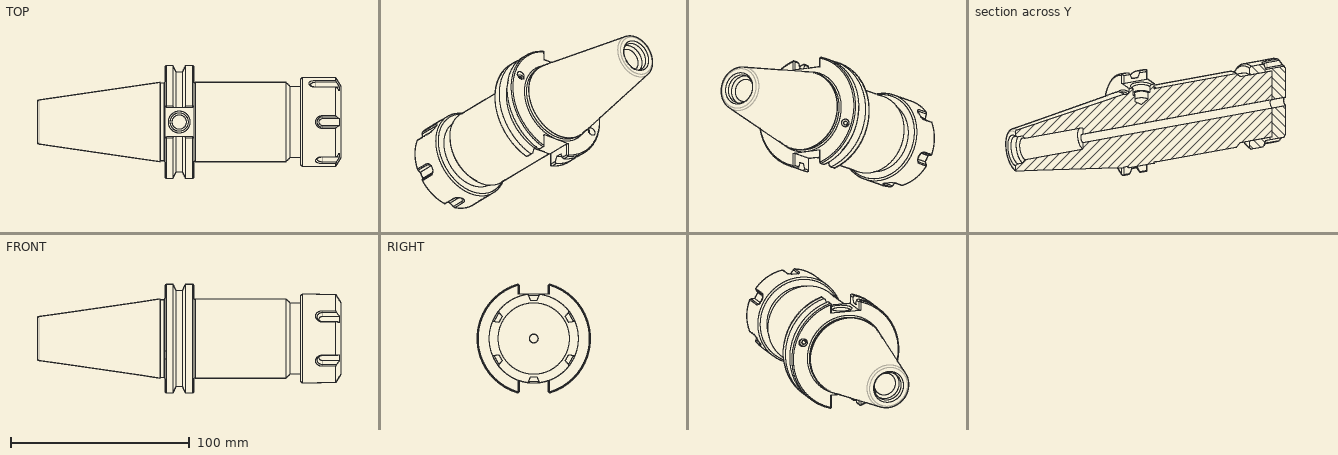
import cadquery as cq
import math

TOTAL_LENGTH = 169.9

GAUGE_X = 68.5
GAUGE_DIAMETER = 44.5
TAPER_RATIO = 7 / 24
SHANK_EDGE_RADIUS = 1.2
UNDERCUT_DIAMETER = 43.7
UNDERCUT_CHAMFER = 0.3
UNDERCUT_ROOT_LENGTH = 0.7
UNDERCUT_ROOT_DIAMETER = 45.5

FLANGE_START = 71.5
FLANGE_END = 87.5
FLANGE_DIAMETER = 63.5
FLANGE_CHAMFER = 0.7
GROOVE_CENTRE = 79.3
GROOVE_FLOOR_WIDTH = 3.5
GROOVE_TOP_WIDTH = 7.1
GROOVE_DIAMETER = 56.2

KEYWAY_WIDTH = 16.1
KEYWAY_CHAMFER = 0.8
TOP_KEYWAY_FLOOR = 25.0
BOTTOM_KEYWAY_FLOOR = 22.8

CHIP_HOLE_RIM_DIAMETER = 12.2
CHIP_HOLE_DIAMETER = 10.2
CHIP_HOLE_DEPTH = 4.6
CHIP_DRILL_DIAMETER = 8.0
CHIP_DRILL_DEPTH = 8.5
DRILL_POINT_ANGLE = 118

RELIEF_END = 88.5
RELIEF_DIAMETER = 44.2
BODY_END = 139.0
BODY_DIAMETER = 44.5
NECK_START = 141.3
NECK_DIAMETER = 40.0

BORE_MOUTH_DIAMETER = 17.8
BORE_MOUTH_DEPTH = 1.5
BORE_PILOT_DIAMETER = 16.0
BORE_PILOT_DEPTH = 4.8
BORE_STEP_LENGTH = 1.4
BORE_DIAMETER = 12.5
BORE_DEPTH = 42.5
THROUGH_DIAMETER = 4.8

SCREW_COUNT = 2
SCREW_CIRCLE_DIAMETER = 54.0
SCREW_DIRECTION = 20
SCREW_DIAMETER = 4.2
SCREW_TILT = 30
SCREW_RECESS = 2.4
SCREW_LENGTH = 4.0
SCREW_SOCKET_WIDTH = 2.0
SCREW_SOCKET_DEPTH = 1.7

NUT_START = 147.1
NUT_DIAMETER = 50.0
NUT_CHAMFER = 1.0
NUT_CONE_START = 166.8
NUT_FACE_DIAMETER = 40.0
NUT_WALL = 8.5

SLOT_COUNT = 6
SLOT_FIRST_ANGLE = 30
SLOT_RIM_WIDTH = 7.1
SLOT_RIM_CHAMFER = 0.7
SLOT_FLOOR_WIDTH = 3.7
SLOT_FLOOR_RADIUS = 21.4
SLOT_START = 155.8
LONG_SLOT_START = 152.0

SHANK_END_DIAMETER = GAUGE_DIAMETER - GAUGE_X * TAPER_RATIO
NOSE_END = TOTAL_LENGTH - NUT_WALL
SLOT_RIM_RADIUS = math.sqrt((NUT_DIAMETER / 2) ** 2 - (SLOT_RIM_WIDTH / 2) ** 2)
SLOT_WALL_RADIUS = SLOT_RIM_RADIUS - SLOT_RIM_CHAMFER
SLOT_WALL_WIDTH = SLOT_RIM_WIDTH - 2 * SLOT_RIM_CHAMFER
SCREW_HOLE_DEPTH = SCREW_RECESS + SCREW_LENGTH


def revolve_x(points):
    """Solid of revolution about X from (x, radius) points."""
    return cq.Workplane("XY").polyline(points).close().revolve(360, (0, 0, 0), (1, 0, 0))


def holder_blank():
    """Taper shank, grooved flange, body and nose as one turned solid."""
    flange_radius = FLANGE_DIAMETER / 2
    rim_radius = flange_radius - FLANGE_CHAMFER
    groove_radius = GROOVE_DIAMETER / 2
    outline = [
        (0, 0),
        (0, SHANK_END_DIAMETER / 2),
        (GAUGE_X, GAUGE_DIAMETER / 2),
        (GAUGE_X + UNDERCUT_CHAMFER, UNDERCUT_DIAMETER / 2),
        (FLANGE_START - UNDERCUT_ROOT_LENGTH, UNDERCUT_DIAMETER / 2),
        (FLANGE_START, UNDERCUT_ROOT_DIAMETER / 2),
        (FLANGE_START, rim_radius),
        (FLANGE_START + FLANGE_CHAMFER, flange_radius),
        (GROOVE_CENTRE - GROOVE_TOP_WIDTH / 2, flange_radius),
        (GROOVE_CENTRE - GROOVE_FLOOR_WIDTH / 2, groove_radius),
        (GROOVE_CENTRE + GROOVE_FLOOR_WIDTH / 2, groove_radius),
        (GROOVE_CENTRE + GROOVE_TOP_WIDTH / 2, flange_radius),
        (FLANGE_END - FLANGE_CHAMFER, flange_radius),
        (FLANGE_END, rim_radius),
        (FLANGE_END, RELIEF_DIAMETER / 2),
        (RELIEF_END, RELIEF_DIAMETER / 2),
        (RELIEF_END, BODY_DIAMETER / 2),
        (BODY_END, BODY_DIAMETER / 2),
        (NECK_START, NECK_DIAMETER / 2),
        (NOSE_END, NECK_DIAMETER / 2),
        (NOSE_END, 0),
    ]
    return revolve_x(outline).faces("<X").edges().fillet(SHANK_EDGE_RADIUS)


def pull_stud_bore():
    """Stepped bore from the small taper end, running on as a narrow hole to the nose."""
    step_end = BORE_PILOT_DEPTH + BORE_STEP_LENGTH
    return revolve_x(
        [
            (0, 0),
            (0, BORE_MOUTH_DIAMETER / 2),
            (BORE_MOUTH_DEPTH, BORE_PILOT_DIAMETER / 2),
            (BORE_PILOT_DEPTH, BORE_PILOT_DIAMETER / 2),
            (step_end, BORE_DIAMETER / 2),
            (BORE_DEPTH, BORE_DIAMETER / 2),
            (BORE_DEPTH, THROUGH_DIAMETER / 2),
            (NOSE_END, THROUGH_DIAMETER / 2),
            (NOSE_END, 0),
        ]
    )


def keyway(floor):
    """Slot through the flange on +Z, with chamfered wall edges."""
    half = KEYWAY_WIDTH / 2
    wide = half + KEYWAY_CHAMFER
    outer = FLANGE_DIAMETER / 2
    plan = [
        (FLANGE_START, wide),
        (FLANGE_START + KEYWAY_CHAMFER, half),
        (FLANGE_END - KEYWAY_CHAMFER, half),
        (FLANGE_END, wide),
        (FLANGE_END, -wide),
        (FLANGE_END - KEYWAY_CHAMFER, -half),
        (FLANGE_START + KEYWAY_CHAMFER, -half),
        (FLANGE_START, -wide),
    ]
    walls = cq.Workplane("XY", origin=(0, 0, floor)).polyline(plan).close().extrude(outer - floor)
    rim_height = math.sqrt(outer**2 - wide**2)
    rim = [
        (-half, rim_height - KEYWAY_CHAMFER),
        (-wide, rim_height),
        (-wide, outer),
        (wide, outer),
        (wide, rim_height),
        (half, rim_height - KEYWAY_CHAMFER),
    ]
    length = FLANGE_END - FLANGE_START
    flare = cq.Workplane("YZ", origin=(FLANGE_START, 0, 0)).polyline(rim).close().extrude(length)
    return walls.union(flare)


def chip_hole():
    """Stepped blind hole going down from the top keyway floor, with a drill point."""
    rim_depth = (CHIP_HOLE_RIM_DIAMETER - CHIP_HOLE_DIAMETER) / 2
    point = CHIP_DRILL_DIAMETER / 2 / math.tan(math.radians(DRILL_POINT_ANGLE / 2))
    outline = [
        (0, 0),
        (CHIP_HOLE_RIM_DIAMETER / 2, 0),
        (CHIP_HOLE_DIAMETER / 2, -rim_depth),
        (CHIP_HOLE_DIAMETER / 2, -CHIP_HOLE_DEPTH),
        (CHIP_DRILL_DIAMETER / 2, -CHIP_HOLE_DEPTH),
        (CHIP_DRILL_DIAMETER / 2, -CHIP_DRILL_DEPTH),
        (0, -CHIP_DRILL_DEPTH - point),
    ]
    plane = cq.Workplane("XZ", origin=(GROOVE_CENTRE, 0, TOP_KEYWAY_FLOOR))
    return plane.polyline(outline).close().revolve(360, (0, 0, 0), (0, 1, 0))


def screw_plane(number):
    """Plane on the flange face, its normal tilted towards the tool axis."""
    angle = math.radians(SCREW_DIRECTION + number * 360 / SCREW_COUNT)
    tilt = math.radians(SCREW_TILT)
    outward = (math.cos(angle), math.sin(angle))
    radius = SCREW_CIRCLE_DIAMETER / 2
    origin = (FLANGE_START, radius * outward[0], radius * outward[1])
    inward = -math.sin(tilt)
    normal = (math.cos(tilt), inward * outward[0], inward * outward[1])
    tangent = (0, -outward[1], outward[0])
    return cq.Plane(origin=origin, xDir=tangent, normal=normal)


def screw_hole(number):
    plane = cq.Workplane(screw_plane(number)).workplane(offset=-SCREW_DIAMETER)
    return plane.circle(SCREW_DIAMETER / 2).extrude(SCREW_DIAMETER + SCREW_HOLE_DEPTH)


def make_holder():
    body = holder_blank().cut(pull_stud_bore())
    body = body.cut(keyway(TOP_KEYWAY_FLOOR))
    body = body.cut(keyway(BOTTOM_KEYWAY_FLOOR).rotate((0, 0, 0), (1, 0, 0), 180))
    body = body.cut(chip_hole())
    for number in range(SCREW_COUNT):
        body = body.cut(screw_hole(number))
    return body


def make_screw(number):
    """Socket screw seated at the bottom of its tilted hole."""
    head = cq.Workplane(screw_plane(number)).workplane(offset=SCREW_RECESS)
    screw = head.circle(SCREW_DIAMETER / 2).extrude(SCREW_LENGTH)
    corner_diameter = SCREW_SOCKET_WIDTH / math.cos(math.radians(30))
    return screw.cut(head.polygon(6, corner_diameter).extrude(SCREW_SOCKET_DEPTH))


def nut_blank():
    """Turned cap that closes over the holder nose."""
    outer = NUT_DIAMETER / 2
    bore = NECK_DIAMETER / 2
    return revolve_x(
        [
            (NUT_START, bore),
            (NUT_START, outer - NUT_CHAMFER),
            (NUT_START + NUT_CHAMFER, outer),
            (NUT_CONE_START, outer),
            (TOTAL_LENGTH, NUT_FACE_DIAMETER / 2),
            (TOTAL_LENGTH, THROUGH_DIAMETER / 2),
            (NOSE_END, THROUGH_DIAMETER / 2),
            (NOSE_END, bore),
        ]
    )


def slot_layer(start, width, base, height, end_width):
    """Round-ended slot layer from z = base upwards, its width changing from width to end_width."""
    centre = start + SLOT_RIM_WIDTH / 2
    open_end = TOTAL_LENGTH + SLOT_RIM_WIDTH
    half = width / 2
    slope = math.degrees(math.atan((width - end_width) / 2 / height))
    return (
        cq.Workplane("XY", origin=(0, 0, base))
        .moveTo(open_end, half)
        .lineTo(centre, half)
        .threePointArc((centre - half, 0), (centre, -half))
        .lineTo(open_end, -half)
        .close()
        .extrude(height, taper=slope)
    )


def wrench_slot(start):
    """Slot on +Z with a chamfered rim and drafted walls."""
    wall_height = SLOT_WALL_RADIUS - SLOT_FLOOR_RADIUS
    rim_height = NUT_DIAMETER / 2 - SLOT_WALL_RADIUS
    top_width = SLOT_WALL_WIDTH + 2 * rim_height
    wall = slot_layer(start, SLOT_FLOOR_WIDTH, SLOT_FLOOR_RADIUS, wall_height, SLOT_WALL_WIDTH)
    rim = slot_layer(start, SLOT_WALL_WIDTH, SLOT_WALL_RADIUS, rim_height, top_width)
    return wall.union(rim)


def make_nut():
    body = nut_blank()
    for number in range(SLOT_COUNT):
        start = LONG_SLOT_START if number == 0 else SLOT_START
        turn = SLOT_FIRST_ANGLE + number * 360 / SLOT_COUNT - 90
        body = body.cut(wrench_slot(start).rotate((0, 0, 0), (1, 0, 0), turn))
    return body


holder = make_holder()
screws = [make_screw(number) for number in range(SCREW_COUNT)]
nut = make_nut()

result = cq.Compound.makeCompound([holder.val(), nut.val(), *[screw.val() for screw in screws]])